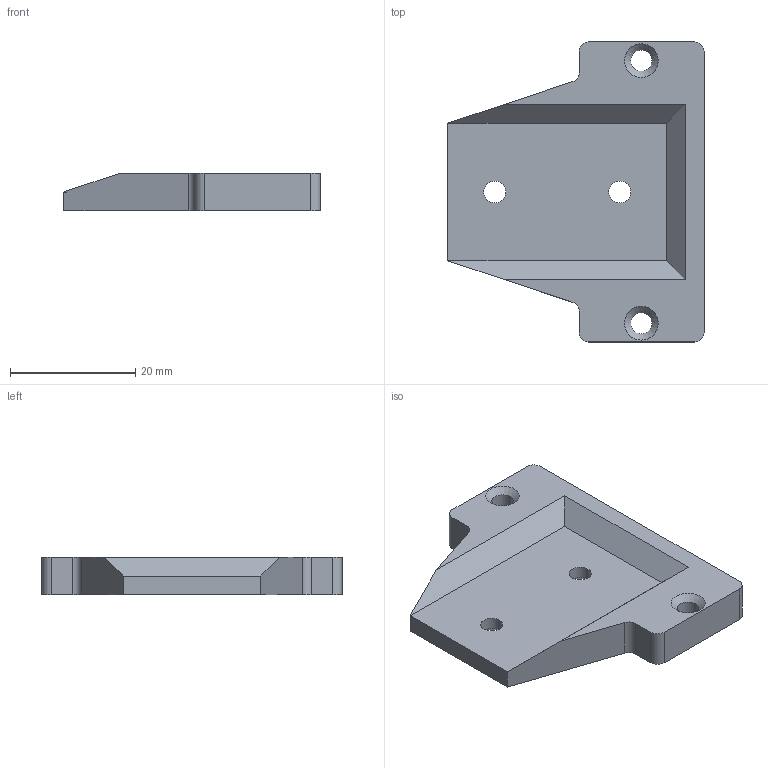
import cadquery as cq

length = 41.0
width = 48.0
thickness = 6.0
front_width = 22.0
ear_length = 20.0
ear_start = length - ear_length
tongue_taper_ratio = 3.0
corner_radius = 1.5

floor_height = 3.0
pocket_depth = thickness - floor_height
floor_length = 35.0
floor_width = front_width

floor_hole_diameter = 3.5
floor_countersink_depth = 1.0
floor_hole_count = 2
floor_hole_spacing = 20.0
first_floor_hole_x = 7.5

ear_hole_diameter = 3.4
countersink_diameter = 5.4
countersink_angle = 90.0
ear_hole_back_inset = 10.06
ear_hole_x = length - ear_hole_back_inset
ear_hole_spacing = 42.0


def make_plate():
    """Tapered tongue that widens into a block with two ears, corners rounded."""
    half_front = front_width / 2
    half_width = width / 2
    half_taper_end = half_front + ear_start / tongue_taper_ratio
    outline = [
        (0, -half_front),
        (ear_start, -half_taper_end),
        (ear_start, -half_width),
        (length, -half_width),
        (length, half_width),
        (ear_start, half_width),
        (ear_start, half_taper_end),
        (0, half_front),
    ]
    plate = cq.Workplane("XY").polyline(outline).close().extrude(thickness)
    return plate.edges("|Z").edges("not <X").fillet(corner_radius)


def make_pocket():
    """Cutter whose side and back walls lean outward at 45 degrees."""
    front_overrun = pocket_depth
    floor_span = front_overrun + floor_length
    top_span = floor_span + pocket_depth
    top_width = floor_width + 2 * pocket_depth
    return (
        cq.Workplane("XY", origin=(-front_overrun, 0, floor_height))
        .rect(floor_span, floor_width, centered=(False, True))
        .workplane(offset=pocket_depth)
        .rect(top_span, top_width, centered=(False, True))
        .loft(ruled=True)
    )


def drill_floor_holes(body):
    """Two through holes along the centre line, countersunk from the underside."""
    hole_radius = floor_hole_diameter / 2
    mouth_radius = hole_radius + floor_countersink_depth
    for index in range(floor_hole_count):
        hole_x = first_floor_hole_x + index * floor_hole_spacing
        bottom = cq.Workplane("XY", origin=(hole_x, 0, 0))
        shaft = bottom.circle(hole_radius).extrude(floor_height)
        cone = cq.Workplane(cq.Solid.makeCone(
            mouth_radius, hole_radius, floor_countersink_depth, cq.Vector(hole_x, 0, 0)
        ))
        body = body.cut(shaft).cut(cone)
    return body


def drill_ear_holes(body):
    """One countersunk through hole in each ear."""
    centres = [(ear_hole_x, side * ear_hole_spacing / 2) for side in (-1, 1)]
    return (
        body.faces(">Z")
        .workplane(origin=(0, 0, thickness))
        .pushPoints(centres)
        .cskHole(ear_hole_diameter, countersink_diameter, countersink_angle)
    )


result = make_plate().cut(make_pocket())
result = drill_floor_holes(result)
result = drill_ear_holes(result)